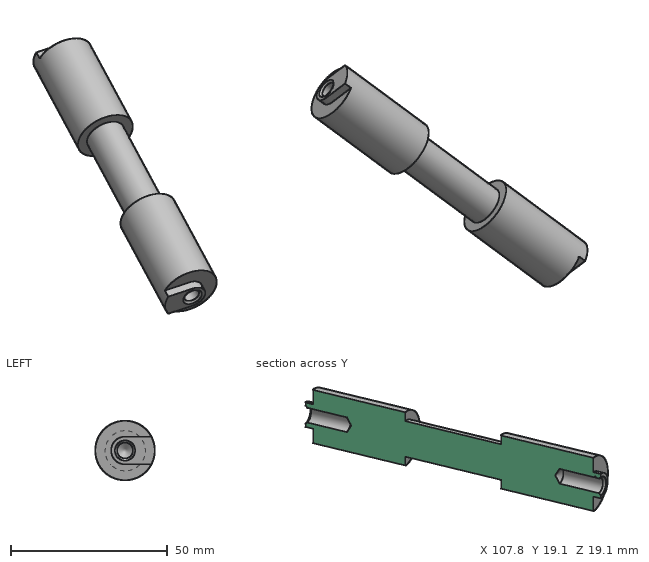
import cadquery as cq
import math

total_length = 107.8
barrel_diameter = 19.1
waist_diameter = 12.8
waist_length = 34.7

tongue_length = 2.7
tongue_width = 8.8

hole_diameter = 5.1
hole_mouth_diameter = 6.5
hole_depth = 15.1
drill_tip_angle = 118.0

half_length = total_length / 2
barrel_length = half_length - tongue_length - waist_length / 2


def rod(start_x, length, diameter):
    """Solid cylinder along +X."""
    return cq.Workplane("YZ", origin=(start_x, 0, 0)).circle(diameter / 2).extrude(length)


def tongue():
    """Tongue at the -X end: round around the hole, running out to the -Y side of the barrel."""
    half_width = tongue_width / 2
    reach = barrel_diameter / 2
    round_end = rod(-half_length, tongue_length, tongue_width)
    straight = (
        cq.Workplane("XY")
        .box(tongue_length, reach, tongue_width, centered=(False, False, True))
        .translate((-half_length, -reach, 0))
    )
    envelope = rod(-half_length, tongue_length, barrel_diameter)
    return round_end.union(straight).intersect(envelope)


def drilled_hole():
    """Chamfered blind hole with a conical bottom, entering from the -X end."""
    radius = hole_diameter / 2
    mouth_radius = hole_mouth_diameter / 2
    chamfer_depth = mouth_radius - radius
    tip_depth = radius / math.tan(math.radians(drill_tip_angle / 2))
    return (
        cq.Workplane("XY", origin=(-half_length, 0, 0))
        .lineTo(0, mouth_radius)
        .lineTo(chamfer_depth, radius)
        .lineTo(hole_depth, radius)
        .lineTo(hole_depth + tip_depth, 0)
        .close()
        .revolve(360, (0, 0, 0), (1, 0, 0))
    )


def end_piece():
    """Barrel, tongue and hole at the -X end."""
    barrel = rod(-half_length + tongue_length, barrel_length, barrel_diameter)
    return barrel.union(tongue()).cut(drilled_hole())


waist = rod(-waist_length / 2, waist_length, waist_diameter)
left_end = end_piece()
result = waist.union(left_end).union(left_end.mirror("YZ"))